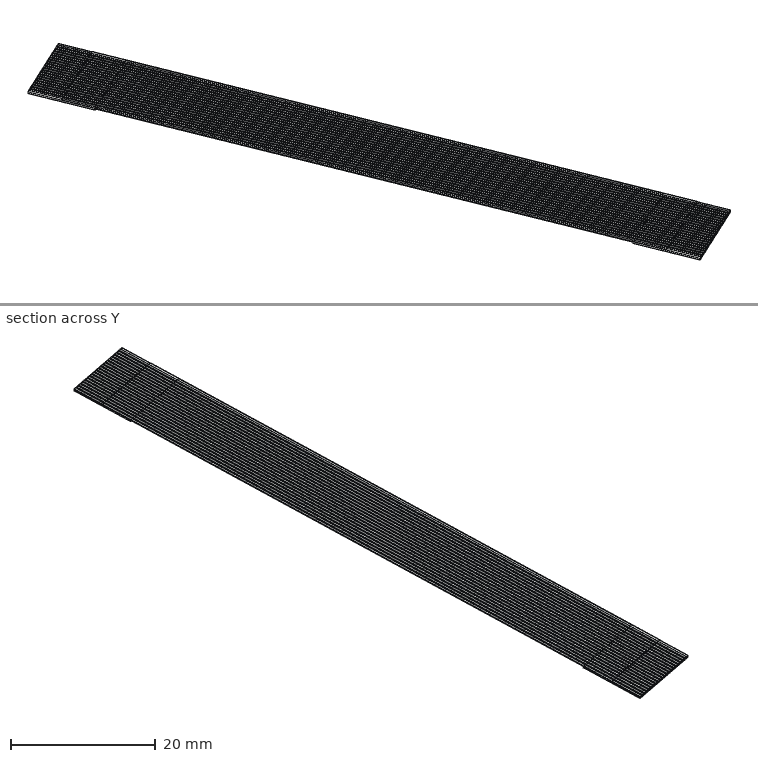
import cadquery as cq

length = 100.0
width = 11.5

thickness = 0.36
base_film_thickness = 0.08
conductor_thickness = 0.02
cover_film_thickness = 0.04
film_stack_thickness = base_film_thickness + conductor_thickness + cover_film_thickness
stiffener_thickness = thickness - film_stack_thickness

pitch = 0.5
conductor_width = 0.3
conductor_count = round(width / pitch) - 1

stiffener_length = 10.0
exposed_length = 5.0

base_bottom = stiffener_thickness
base_top = base_bottom + base_film_thickness
conductor_top = base_top + conductor_thickness

end_signs = (-1, 1)


def layer(layer_length, layer_thickness, x, bottom):
    """Full-width layer centred on `x`, with its underside at height `bottom`."""
    block = cq.Workplane("XY").box(layer_length, width, layer_thickness, centered=(True, True, False))
    return block.translate((x, 0, bottom))


def make_conductors():
    """Parallel conductors along the whole cable, with open gaps between them."""
    rows = cq.Workplane("XY", origin=(0, 0, base_top)).rarray(1, pitch, 1, conductor_count)
    return rows.rect(length, conductor_width).extrude(conductor_thickness)


result = layer(length, base_film_thickness, 0, base_bottom)

result = result.union(make_conductors())

result = result.union(layer(length - 2 * exposed_length, cover_film_thickness, 0, conductor_top))

for sign in end_signs:
    stiffener_x = sign * (length - stiffener_length) / 2
    result = result.union(layer(stiffener_length, stiffener_thickness, stiffener_x, 0))